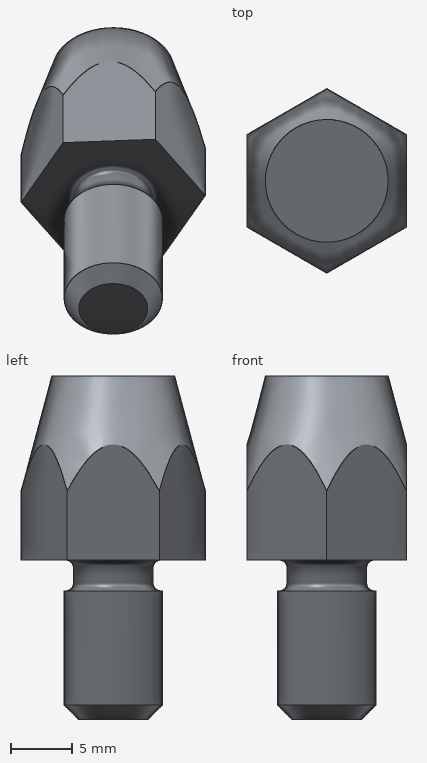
import cadquery as cq
import math

hex_sides = 6
across_flats = 13.0
head_height = 15.0
top_diameter = 10.0
taper_angle = 15.0

stud_diameter = 8.0
stud_length = 13.0
tip_chamfer = 1.2

neck_diameter = 6.5
neck_height = 2.5
neck_fillet = 0.6

half_sector = 180 / hex_sides
across_corners = across_flats / math.cos(math.radians(half_sector))


def make_head():
    """Hexagonal prism with flats facing X, tapered to a round top by a cone."""
    prism = (
        cq.Workplane("XY", origin=(0, 0, stud_length))
        .polygon(hex_sides, across_corners)
        .extrude(head_height)
        .rotate((0, 0, 0), (0, 0, 1), half_sector)
    )
    top_radius = top_diameter / 2
    base_radius = top_radius + head_height * math.tan(math.radians(taper_angle))
    cone = cq.Workplane(
        cq.Solid.makeCone(base_radius, top_radius, head_height, pnt=cq.Vector(0, 0, stud_length))
    )
    return prism.intersect(cone)


def make_stud():
    """Stud with a chamfered tip and a neck that is filleted into both shoulders."""
    stud_radius = stud_diameter / 2
    neck_radius = neck_diameter / 2
    shoulder_z = stud_length - neck_height
    fillet_outer = neck_radius + neck_fillet
    arc_reach = neck_fillet * (1 - math.sqrt(0.5))
    profile = (
        cq.Workplane("XZ")
        .lineTo(stud_radius - tip_chamfer, 0)
        .lineTo(stud_radius, tip_chamfer)
        .lineTo(stud_radius, shoulder_z)
        .lineTo(fillet_outer, shoulder_z)
        .threePointArc(
            (neck_radius + arc_reach, shoulder_z + arc_reach),
            (neck_radius, shoulder_z + neck_fillet),
        )
        .lineTo(neck_radius, stud_length - neck_fillet)
        .threePointArc(
            (neck_radius + arc_reach, stud_length - arc_reach),
            (fillet_outer, stud_length),
        )
        .lineTo(0, stud_length)
        .close()
    )
    return profile.revolve(360, (0, 0, 0), (0, 1, 0))


result = make_head().union(make_stud())